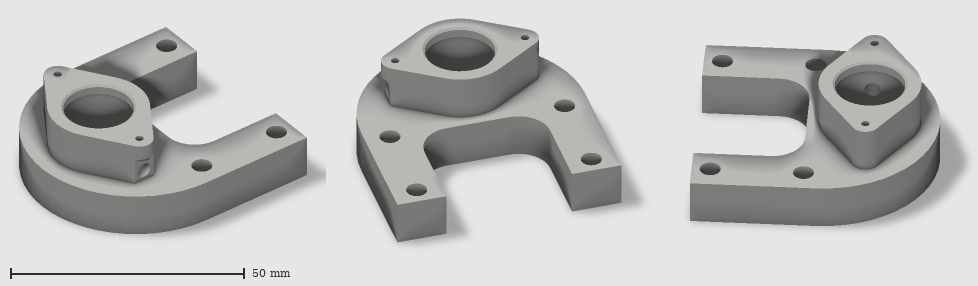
import cadquery as cq
import math

total_length = 52.0
plate_radius = 25.0
plate_thickness = 10.0
arm_end_y = total_length - plate_radius

opening_half_width = 14.0
opening_floor_y = 3.5
opening_corner_radius = 7.0

mount_hole_diameter = 4.5
mount_hole_x = 19.5
mount_hole_rows_y = (2.95, 23.0)

flange_y = -10.0
flange_height = 10.05
flange_radius = 11.0
lobe_radius = 3.0
lobe_x = 14.5
top_z = plate_thickness + flange_height

bore_diameter = 16.0
lip_diameter = 15.1
lip_depth = 2.35
lip_chamfer = (bore_diameter - lip_diameter) / 2

screw_hole_diameter = 1.8
screw_hole_depth = 6.0
drill_tip_angle = 118.0

notch_top_z = top_z - 3.55
cross_hole_diameter = 3.4
cross_hole_lift = 2.55
cross_hole_z = plate_thickness + cross_hole_lift

tangent_cos = (flange_radius - lobe_radius) / lobe_x
tangent_sin = math.sqrt(1 - tangent_cos**2)
notch_x = lobe_x + lobe_radius * tangent_cos


def make_plate():
    outline = (
        cq.Workplane("XY")
        .moveTo(-plate_radius, arm_end_y)
        .lineTo(-plate_radius, 0)
        .threePointArc((0, -plate_radius), (plate_radius, 0))
        .lineTo(plate_radius, arm_end_y)
        .close()
        .extrude(plate_thickness)
    )
    opening_length = arm_end_y - opening_floor_y
    opening = (
        cq.Workplane("XY")
        .center(0, opening_floor_y + opening_length / 2)
        .rect(2 * opening_half_width, opening_length)
        .extrude(plate_thickness)
        .edges("|Z and <Y")
        .fillet(opening_corner_radius)
    )
    mount_holes = (
        cq.Workplane("XY")
        .pushPoints([(side * mount_hole_x, y) for side in (-1, 1) for y in mount_hole_rows_y])
        .circle(mount_hole_diameter / 2)
        .extrude(plate_thickness)
    )
    return outline.cut(opening).cut(mount_holes)


def make_flange():
    lobe_tangent_y = lobe_radius * tangent_sin
    body_tangent_x = flange_radius * tangent_cos
    body_tangent_y = flange_radius * tangent_sin
    lobe_tip_x = lobe_x + lobe_radius
    return (
        cq.Workplane("XY", origin=(0, flange_y, plate_thickness))
        .moveTo(notch_x, lobe_tangent_y)
        .lineTo(body_tangent_x, body_tangent_y)
        .threePointArc((0, flange_radius), (-body_tangent_x, body_tangent_y))
        .lineTo(-notch_x, lobe_tangent_y)
        .threePointArc((-lobe_tip_x, 0), (-notch_x, -lobe_tangent_y))
        .lineTo(-body_tangent_x, -body_tangent_y)
        .threePointArc((0, -flange_radius), (body_tangent_x, -body_tangent_y))
        .lineTo(notch_x, -lobe_tangent_y)
        .threePointArc((lobe_tip_x, 0), (notch_x, lobe_tangent_y))
        .close()
        .extrude(flange_height)
    )


def make_bore():
    """Revolved cutter: wide bore, narrower lip and a chamfer at the top."""
    bore_radius = bore_diameter / 2
    lip_radius = lip_diameter / 2
    return (
        cq.Workplane("XZ", origin=(0, flange_y, 0))
        .polyline([
            (0, 0),
            (bore_radius, 0),
            (bore_radius, top_z - lip_depth),
            (lip_radius, top_z - lip_depth),
            (lip_radius, top_z - lip_chamfer),
            (bore_radius, top_z),
            (0, top_z),
        ])
        .close()
        .revolve(360, (0, 0), (0, 1))
    )


def make_screw_hole(x):
    """Blind hole cutter with a conical drill tip."""
    radius = screw_hole_diameter / 2
    tip_length = radius / math.tan(math.radians(drill_tip_angle / 2))
    floor_z = top_z - screw_hole_depth
    return (
        cq.Workplane("XZ", origin=(x, flange_y, 0))
        .polyline([(0, top_z), (radius, top_z), (radius, floor_z), (0, floor_z - tip_length)])
        .close()
        .revolve(360, (0, 0), (0, 1))
    )


def make_notch():
    """Block that trims the rounded +X lobe end below its top."""
    return cq.Workplane("XY", origin=(notch_x, flange_y, plate_thickness)).box(
        lobe_radius, 2 * lobe_radius, notch_top_z - plate_thickness, centered=(False, True, False)
    )


def make_cross_hole():
    return (
        cq.Workplane("YZ", origin=(0, flange_y, cross_hole_z))
        .circle(cross_hole_diameter / 2)
        .extrude(lobe_x + lobe_radius)
    )


result = make_plate().union(make_flange()).cut(make_bore()).cut(make_notch()).cut(make_cross_hole())
for side in (-1, 1):
    result = result.cut(make_screw_hole(side * lobe_x))